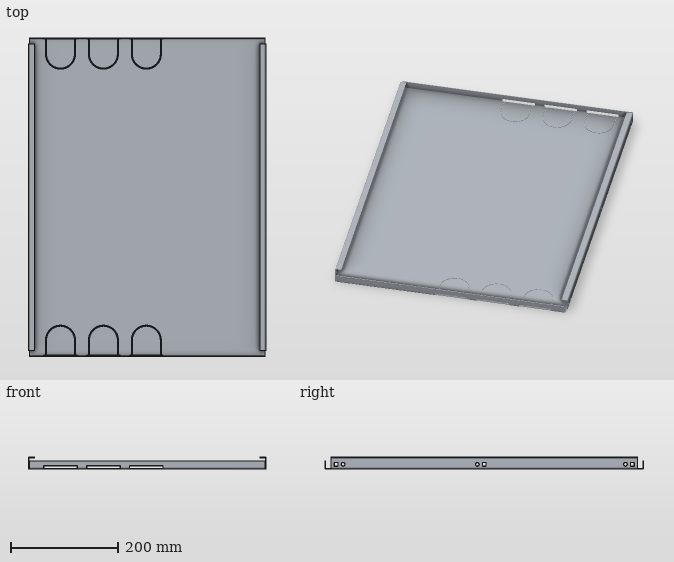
import cadquery as cq

LENGTH_X = 443.4
LENGTH_Y = 594.0
HEIGHT = 22.2

THICKNESS = 1.2
INNER_RADIUS = 1.0
OUTER_RADIUS = INNER_RADIUS + THICKNESS

FLOOR_X = LENGTH_X - 2 * OUTER_RADIUS
FLOOR_Y = LENGTH_Y - 2 * OUTER_RADIUS

SIDE_WALL_LENGTH = 571.6
LIP_WIDTH = 11.6

END_WALL_HEIGHT = 15.2
END_STRIP_DEPTH = 2 * OUTER_RADIUS

HOLE_SIZE = 6.5
HOLE_Z = 9.0
SQUARE_HOLE_YS = (-276.0, 0.0, 276.0)
ROUND_HOLE_YS = (-263.0, -13.0, 263.0)

FIRST_TONGUE_FROM_SIDE = 60.0
TONGUE_PITCH = 80.0
TONGUE_COUNT = 3
TONGUE_RADIUS = 26.5
TONGUE_LENGTH = 57.0
TONGUE_SLOT = 1.0
JOINT_WIDTH = 1.0

WINDOW_WIDTH = 62.0
WINDOW_TOP = 6.0


def box(x0, x1, y0, y1, z0, z1):
    """Axis-aligned block between two opposite corners."""
    return cq.Workplane("XY").box(x1 - x0, y1 - y0, z1 - z0, centered=False).translate((x0, y0, z0))


def make_floor():
    return box(-FLOOR_X / 2, FLOOR_X / 2, -FLOOR_Y / 2, FLOOR_Y / 2, 0, THICKNESS)


def make_side_wall():
    """C-shaped bend, wall and inward lip on the -X side."""
    outer_x = -LENGTH_X / 2
    inner_x = outer_x + LIP_WIDTH
    half_length = SIDE_WALL_LENGTH / 2
    channel = box(outer_x, inner_x, -half_length, half_length, 0, HEIGHT)
    hollow = box(
        outer_x + THICKNESS, inner_x, -half_length, half_length, THICKNESS, HEIGHT - THICKNESS
    )
    channel = channel.edges("|Y and <X").fillet(OUTER_RADIUS)
    hollow = hollow.edges("|Y and <X").fillet(INNER_RADIUS)
    return channel.cut(hollow)


def make_end_wall():
    """L-shaped bend and wall on the -Y side."""
    outer_y = -LENGTH_Y / 2
    inner_y = outer_y + END_STRIP_DEPTH
    half_length = FLOOR_X / 2
    angle = box(-half_length, half_length, outer_y, inner_y, 0, END_WALL_HEIGHT)
    hollow = box(
        -half_length, half_length, outer_y + THICKNESS, inner_y, THICKNESS, END_WALL_HEIGHT
    )
    angle = angle.edges("|X and <Y and <Z").fillet(OUTER_RADIUS)
    hollow = hollow.edges("|X and <Y and <Z").fillet(INNER_RADIUS)
    return angle.cut(hollow)


def make_side_holes():
    """Square and round cutters that pass through both side walls."""
    plane = cq.Workplane("YZ", origin=(-LENGTH_X / 2, 0, 0))
    square_places = [(y, HOLE_Z) for y in SQUARE_HOLE_YS]
    round_places = [(y, HOLE_Z) for y in ROUND_HOLE_YS]
    squares = plane.pushPoints(square_places).rect(HOLE_SIZE, HOLE_SIZE).extrude(LENGTH_X)
    rounds = plane.pushPoints(round_places).circle(HOLE_SIZE / 2).extrude(LENGTH_X)
    return squares.union(rounds)


def make_arch(center_x, radius):
    """Round-ended block, one sheet thick, reaching in from the -Y side."""
    start_y = -LENGTH_Y / 2
    arc_y = start_y + TONGUE_LENGTH - TONGUE_RADIUS
    return (
        cq.Workplane("XY")
        .moveTo(center_x - radius, start_y)
        .lineTo(center_x - radius, arc_y)
        .threePointArc((center_x, arc_y + radius), (center_x + radius, arc_y))
        .lineTo(center_x + radius, start_y)
        .close()
        .extrude(THICKNESS)
    )


def make_tongue_cut(center_x):
    """Slot around one tongue, broken by its joint, and the window at its root, on the -Y side."""
    outer_y = -LENGTH_Y / 2
    tip_y = outer_y + TONGUE_LENGTH
    joint = box(
        center_x - JOINT_WIDTH / 2,
        center_x + JOINT_WIDTH / 2,
        tip_y - TONGUE_RADIUS,
        tip_y + TONGUE_SLOT,
        0,
        THICKNESS,
    )
    window = box(
        center_x - WINDOW_WIDTH / 2,
        center_x + WINDOW_WIDTH / 2,
        outer_y,
        outer_y + OUTER_RADIUS,
        0,
        WINDOW_TOP,
    )
    outer_arch = make_arch(center_x, TONGUE_RADIUS + TONGUE_SLOT)
    slot = outer_arch.cut(make_arch(center_x, TONGUE_RADIUS)).cut(joint)
    return slot.union(window)


side_wall = make_side_wall()
end_wall = make_end_wall()
tray = (
    make_floor()
    .union(side_wall)
    .union(side_wall.mirror("YZ"))
    .union(end_wall)
    .union(end_wall.mirror("XZ"))
    .cut(make_side_holes())
)
for index in range(TONGUE_COUNT):
    tongue_x = -LENGTH_X / 2 + FIRST_TONGUE_FROM_SIDE + index * TONGUE_PITCH
    tongue_cut = make_tongue_cut(tongue_x)
    tray = tray.cut(tongue_cut).cut(tongue_cut.mirror("XZ"))
result = tray.solids()